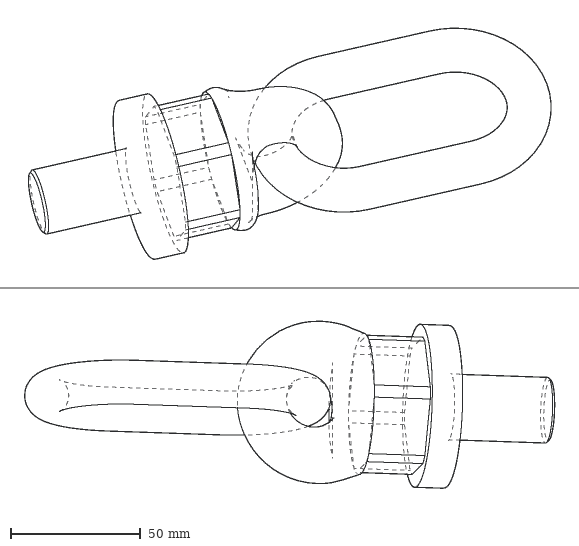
import cadquery as cq
import math

OVERALL_LENGTH = 205.0

STUD_DIAMETER = 25.5
STUD_LENGTH = 39.5
STUD_TIP_CHAMFER = 1.0
STUD_ROOT_FILLET = 1.0
FLANGE_DIAMETER = 63.0
FLANGE_THICKNESS = 12.0
FLANGE_EDGE_FILLET = 1.0
HEX_ACROSS_FLATS = 49.5
HEX_CORNER_DIAMETER = 54.7
HEX_HEIGHT = 22.0
HEX_TOP_Y = FLANGE_THICKNESS + HEX_HEIGHT

EYE_SPHERE_RADIUS = 31.4
EYE_CENTRE_HEIGHT = 16.8
EYE_CENTRE_Y = HEX_TOP_Y + EYE_CENTRE_HEIGHT
EYE_FOOT_RADIUS = 27.3
EYE_PLATE_THICKNESS = 16.8
EYE_FLARE_RADIUS = 8.5
EYE_EDGE_FILLET = 5.0
EYE_HOLE_DIAMETER = 21.0

LINK_ROD_DIAMETER = 17.0
LINK_WIDTH = 74.0
LINK_STRAIGHT_LENGTH = 44.7
LINK_BEND_RADIUS = (LINK_WIDTH - LINK_ROD_DIAMETER) / 2
LINK_TOP_Y = OVERALL_LENGTH - STUD_LENGTH
LINK_UPPER_BEND_Y = LINK_TOP_Y - LINK_WIDTH / 2
LINK_LOWER_BEND_Y = LINK_UPPER_BEND_Y - LINK_STRAIGHT_LENGTH
LINK_LOWEST_ROD_Y = LINK_LOWER_BEND_Y - LINK_BEND_RADIUS

LINK_GAP = 0.5
EYE_HOLE_Y = LINK_LOWEST_ROD_Y + LINK_ROD_DIAMETER / 2 + LINK_GAP - EYE_HOLE_DIAMETER / 2

Y_AXIS = ((0, 0, 0), (0, 1, 0))


def plane_across_y(y):
    """A workplane at height y whose normal is +Y."""
    return cq.Workplane(cq.Plane(origin=(0, y, 0), xDir=(1, 0, 0), normal=(0, 1, 0)))


def make_bolt():
    """Stud and flange turned about Y, with a hexagon on top of the flange."""
    stud_radius = STUD_DIAMETER / 2
    flange_radius = FLANGE_DIAMETER / 2
    turned = (
        cq.Workplane("XY")
        .moveTo(0, -STUD_LENGTH)
        .lineTo(stud_radius - STUD_TIP_CHAMFER, -STUD_LENGTH)
        .lineTo(stud_radius, STUD_TIP_CHAMFER - STUD_LENGTH)
        .lineTo(stud_radius, -STUD_ROOT_FILLET)
        .radiusArc((stud_radius + STUD_ROOT_FILLET, 0), STUD_ROOT_FILLET)
        .lineTo(flange_radius - FLANGE_EDGE_FILLET, 0)
        .radiusArc((flange_radius, FLANGE_EDGE_FILLET), -FLANGE_EDGE_FILLET)
        .lineTo(flange_radius, FLANGE_THICKNESS)
        .lineTo(0, FLANGE_THICKNESS)
        .close()
        .revolve(360, *Y_AXIS)
    )

    across_corners = HEX_ACROSS_FLATS / math.cos(math.radians(30))
    hexagon = plane_across_y(FLANGE_THICKNESS).polygon(6, across_corners).extrude(HEX_HEIGHT)
    corner_limit = plane_across_y(FLANGE_THICKNESS).circle(HEX_CORNER_DIAMETER / 2).extrude(HEX_HEIGHT)
    return turned.union(hexagon.intersect(corner_limit))


def make_eye_envelope():
    """The eye's outer surface: a cone that widens from the hexagon and runs tangent into a sphere."""
    corner_distance = math.hypot(EYE_FOOT_RADIUS, EYE_CENTRE_HEIGHT)
    corner_angle = math.atan2(EYE_CENTRE_HEIGHT, EYE_FOOT_RADIUS)
    tangent_angle = corner_angle - math.acos(EYE_SPHERE_RADIUS / corner_distance)
    tangent_radius = EYE_SPHERE_RADIUS * math.cos(tangent_angle)
    tangent_y = EYE_CENTRE_Y - EYE_SPHERE_RADIUS * math.sin(tangent_angle)
    return (
        cq.Workplane("XY")
        .moveTo(0, HEX_TOP_Y)
        .lineTo(EYE_FOOT_RADIUS, HEX_TOP_Y)
        .lineTo(tangent_radius, tangent_y)
        .threePointArc((EYE_SPHERE_RADIUS, EYE_CENTRE_Y), (0, EYE_CENTRE_Y + EYE_SPHERE_RADIUS))
        .close()
        .revolve(360, *Y_AXIS)
    )


def make_eye():
    eye = make_eye_envelope()

    half_plate = EYE_PLATE_THICKNESS / 2
    foot_top_y = EYE_CENTRE_Y - EYE_FLARE_RADIUS
    outside = 2 * EYE_SPHERE_RADIUS
    above = EYE_CENTRE_Y + outside
    side_cut = (
        cq.Workplane("XY")
        .moveTo(half_plate, above)
        .lineTo(half_plate, EYE_CENTRE_Y)
        .radiusArc((half_plate + EYE_FLARE_RADIUS, foot_top_y), -EYE_FLARE_RADIUS)
        .lineTo(outside, foot_top_y)
        .lineTo(outside, above)
        .close()
        .extrude(outside, both=True)
    )
    eye = eye.cut(side_cut).cut(side_cut.mirror("YZ"))

    hole_radius = EYE_HOLE_DIAMETER / 2
    hole = (
        cq.Workplane("YZ", origin=(-outside, EYE_HOLE_Y, 0))
        .circle(hole_radius)
        .extrude(2 * outside)
    )
    margin = 0.2
    reach = hole_radius + margin
    around_hole = cq.selectors.BoxSelector(
        (-outside, EYE_HOLE_Y - reach, -reach),
        (outside, EYE_HOLE_Y + reach, reach),
    )
    eye = eye.cut(hole)
    eye = eye.edges(around_hole).edges("not(|X or |Z)").fillet(EYE_EDGE_FILLET)

    above_foot = cq.selectors.BoxSelector(
        (-outside, foot_top_y - margin, -outside),
        (outside, above, outside),
    )
    return eye.faces("%SPHERE").edges(above_foot).fillet(EYE_EDGE_FILLET)


def make_link():
    left = -LINK_BEND_RADIUS
    right = LINK_BEND_RADIUS
    centre_line = (
        cq.Workplane("XY")
        .moveTo(left, LINK_LOWER_BEND_Y)
        .lineTo(left, LINK_UPPER_BEND_Y)
        .threePointArc((0, LINK_UPPER_BEND_Y + LINK_BEND_RADIUS), (right, LINK_UPPER_BEND_Y))
        .lineTo(right, LINK_LOWER_BEND_Y)
        .threePointArc((0, LINK_LOWEST_ROD_Y), (left, LINK_LOWER_BEND_Y))
        .close()
    )
    rod_section = plane_across_y(LINK_LOWER_BEND_Y).center(left, 0).circle(LINK_ROD_DIAMETER / 2)
    return rod_section.sweep(centre_line)


bolt = make_bolt().solids()
eye = make_eye().solids()
link = make_link().solids()

result = cq.Compound.makeCompound([bolt.val(), eye.val(), link.val()])